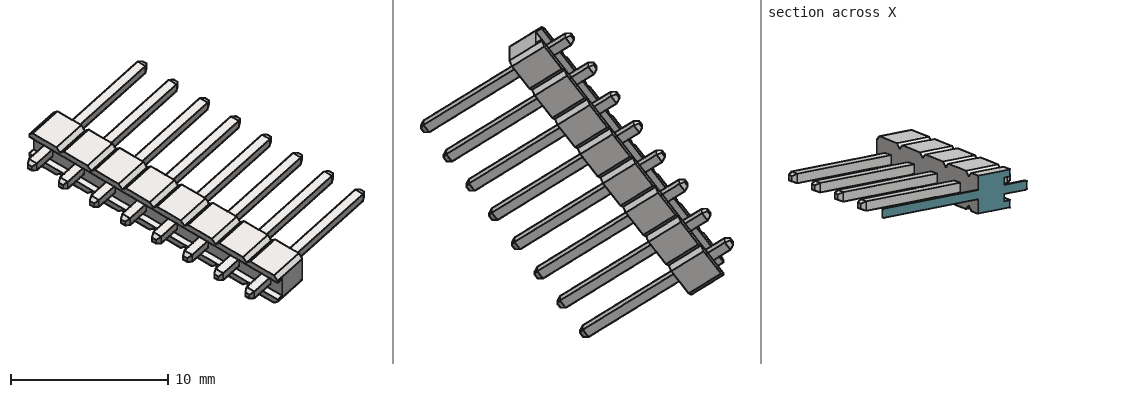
import cadquery as cq


pin_count = 8
pitch = 2.54
row_length = pin_count * pitch

body_depth = 2.5
body_height = 2.54
body_front = -body_depth / 2
body_back = body_front + body_depth
corner_chamfer = 0.3

lip_thickness = 0.5
channel_height = body_height - 2 * lip_thickness
channel_depth = 0.45

pin_width = 0.64
pin_length = 11.6
pin_front_overhang = 1.5
pin_front = body_front - pin_front_overhang
pin_back = pin_front + pin_length
tip_length = pin_width / 2
tip_width = 0.36


def pin_x(index):
    """X position of a pin, with the row centred on the origin."""
    return (index - (pin_count - 1) / 2) * pitch


def body_segment(x):
    """One pitch of the body: a block with its four long edges chamfered."""
    return (
        cq.Workplane("XY")
        .box(pitch, body_depth, body_height)
        .edges("|Y")
        .chamfer(corner_chamfer)
        .translate((x, (body_front + body_back) / 2, 0))
    )


def square_prism(width, y_start, y_end):
    """Square bar along Y, centred on the Y axis."""
    length = y_end - y_start
    return cq.Workplane("XY").box(width, length, width).translate((0, y_start + length / 2, 0))


def tip(y_base, y_end):
    """Square frustum narrowing from the pin section at y_base to the tip at y_end."""
    return (
        cq.Workplane("XZ", origin=(0, y_base, 0))
        .rect(pin_width, pin_width)
        .workplane(offset=y_base - y_end)
        .rect(tip_width, tip_width)
        .loft(ruled=True)
    )


def make_pin():
    """Square pin with a tapered tip at each end."""
    shank_front = pin_front + tip_length
    shank_back = pin_back - tip_length
    shank = square_prism(pin_width, shank_front, shank_back)
    return shank.union(tip(shank_front, pin_front)).union(tip(shank_back, pin_back))


def make_body():
    """Row of joined segments with the front channel cut along its full length."""
    body = body_segment(pin_x(0))
    for index in range(1, pin_count):
        body = body.union(body_segment(pin_x(index)))
    channel = (
        cq.Workplane("XY")
        .box(row_length, channel_depth, channel_height)
        .translate((0, body_front + channel_depth / 2, 0))
    )
    return body.cut(channel)


result = make_body()
pin = make_pin()
for pin_index in range(pin_count):
    result = result.union(pin.translate((pin_x(pin_index), 0, 0)))